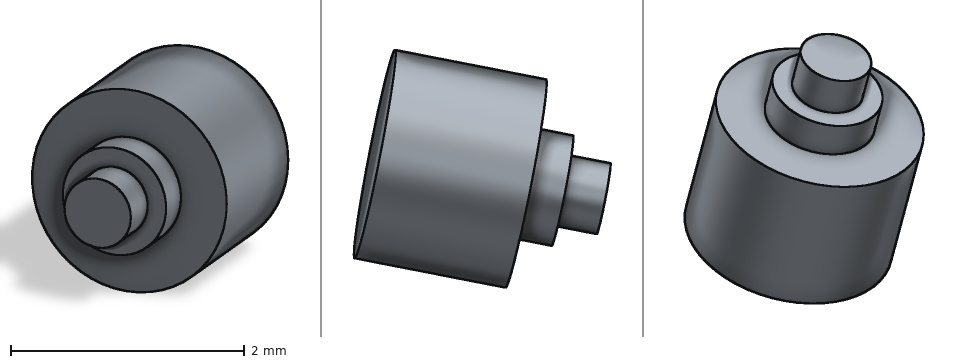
import cadquery as cq

BODY_DIAMETER = 1.82
COLLAR_DIAMETER = 0.965
PIN_DIAMETER = 0.62

TOTAL_LENGTH = 2.0
COLLAR_LENGTH = 0.32
PIN_LENGTH = 0.36
BODY_LENGTH = TOTAL_LENGTH - COLLAR_LENGTH - PIN_LENGTH


def stack_cylinder(part, diameter, length):
    """Add a coaxial cylinder to the -Y end face of the part."""
    return part.faces("<Y").workplane().circle(diameter / 2).extrude(length)


body = cq.Workplane("XZ").circle(BODY_DIAMETER / 2).extrude(BODY_LENGTH)

with_collar = stack_cylinder(body, COLLAR_DIAMETER, COLLAR_LENGTH)
result = stack_cylinder(with_collar, PIN_DIAMETER, PIN_LENGTH)